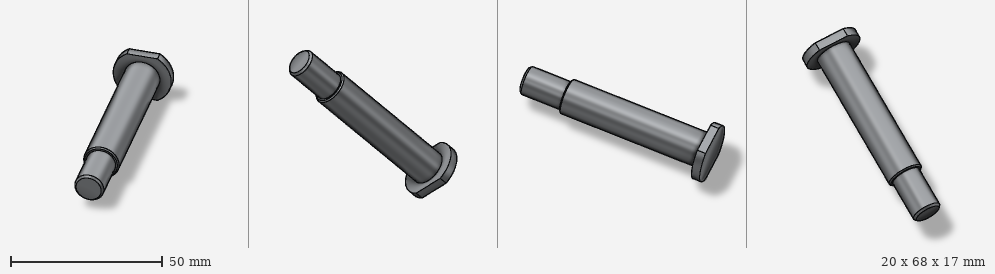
import cadquery as cq

total_length = 68.0

head_diameter = 20.0
head_thickness = 3.0
head_across_flats = 17.0

shank_diameter = 12.2
shank_length = 50.0
shank_chamfer = 0.5

tip_diameter = 10.0
tip_chamfer_length = 0.8
tip_chamfer_depth = 0.7

tip_length = total_length - head_thickness - shank_length


def cylinder(diameter, start, length):
    """Round bar along -Y; start is the distance from the head's outer face."""
    plane = cq.Workplane("XZ", origin=(0, -start, 0))
    return plane.circle(diameter / 2).extrude(length)


def make_head():
    disc = cylinder(head_diameter, 0, head_thickness)
    flats = (
        cq.Workplane("XZ")
        .rect(head_diameter, head_across_flats)
        .extrude(head_thickness)
    )
    return disc.intersect(flats)


def make_shank():
    shank = cylinder(shank_diameter, head_thickness, shank_length)
    return shank.faces("<Y").chamfer(shank_chamfer)


def make_tip():
    tip = cylinder(tip_diameter, head_thickness + shank_length, tip_length)
    return tip.faces("<Y").edges().chamfer(tip_chamfer_length, tip_chamfer_depth)


result = make_head().union(make_shank()).union(make_tip())